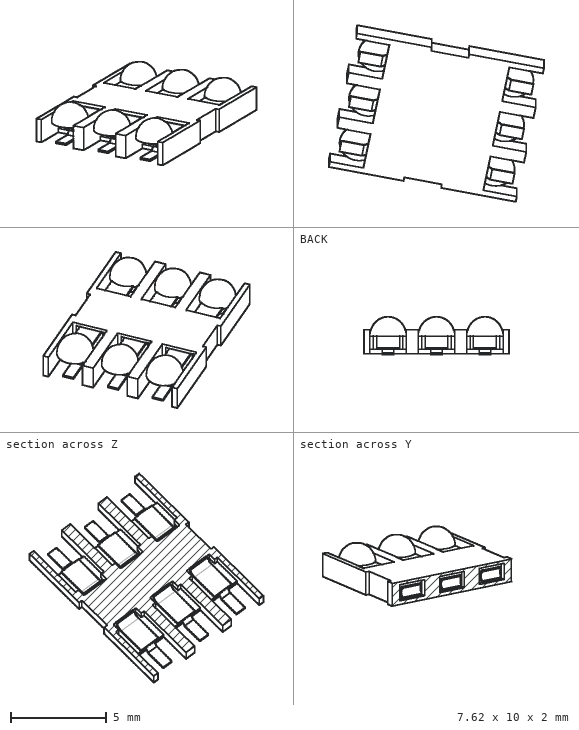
import cadquery as cq

HOUSING_LENGTH = 10.0
HOUSING_WIDTH = 7.62
HOUSING_HEIGHT = 1.27
NOTCH_LENGTH = 2.0
NOTCH_DEPTH = 0.2

POSITIONS_PER_ROW = 3
PITCH = HOUSING_WIDTH / POSITIONS_PER_ROW
ROW_X = [(i - (POSITIONS_PER_ROW - 1) / 2) * PITCH for i in range(POSITIONS_PER_ROW)]

SLOT_WIDTH = 1.93
SLOT_BACK_Y = 1.63
FLOOR_EDGE_Y = 3.21
FLOOR_TOP_Z = 0.23

CAVITY_WIDTH = 1.55
CAVITY_BACK_Y = 1.2
CAVITY_TOP_Z = 1.09

STRIP_THICKNESS = 0.1
STRIP_WIDTH = 1.2
BEND_INNER_RADIUS = 0.3
BEND_OUTER_RADIUS = BEND_INNER_RADIUS + STRIP_THICKNESS
BEND_Z = FLOOR_TOP_Z + BEND_OUTER_RADIUS
LEAF_BOTTOM_Z = BEND_Z + BEND_INNER_RADIUS

DOME_WIDTH = 1.92
DOME_HEIGHT = 1.02
DOME_Y = 3.65

TAB_WIDTH = 0.6
TAB_FLAT_START_Y = 3.43
TAB_END_Y = 4.63
TAB_BOTTOM_Z = -0.05


def box_between(width, y_start, y_end, z_start, z_end):
    """Box centred on X = 0 that spans the given Y and Z ranges."""
    return (
        cq.Workplane("XY")
        .box(width, y_end - y_start, z_end - z_start, centered=(True, False, False))
        .translate((0, y_start, z_start))
    )


def at_each_position(shape):
    """Copies of a +Y shape at every contact position of both rows."""
    copies = []
    for row_angle in (0, 180):
        for x in ROW_X:
            copies.append(shape.translate((x, 0, 0)).rotate((0, 0, 0), (0, 0, 1), row_angle))
    return copies


def make_position_cut():
    """Everything removed from the housing for one contact."""
    half_length = HOUSING_LENGTH / 2
    slot = box_between(SLOT_WIDTH, SLOT_BACK_Y, half_length, FLOOR_TOP_Z, HOUSING_HEIGHT)
    open_end = box_between(SLOT_WIDTH, FLOOR_EDGE_Y, half_length, 0, FLOOR_TOP_Z)
    cavity = box_between(CAVITY_WIDTH, CAVITY_BACK_Y, SLOT_BACK_Y, FLOOR_TOP_Z, CAVITY_TOP_Z)
    return slot.union(open_end).union(cavity)


def make_housing():
    """Block with a shallow notch in each long side and a slot for every contact."""
    body = cq.Workplane("XY").box(
        HOUSING_WIDTH, HOUSING_LENGTH, HOUSING_HEIGHT, centered=(True, True, False)
    )
    notches = (
        cq.Workplane("XY")
        .pushPoints([(-HOUSING_WIDTH / 2, 0), (HOUSING_WIDTH / 2, 0)])
        .rect(2 * NOTCH_DEPTH, NOTCH_LENGTH)
        .extrude(HOUSING_HEIGHT)
    )
    body = body.cut(notches)
    for position_cut in at_each_position(make_position_cut()):
        body = body.cut(position_cut)
    return body


def make_strip():
    """Strip bent into a C that opens outward, its lower leaf resting on the slot floor."""
    bend_y = CAVITY_BACK_Y + BEND_OUTER_RADIUS
    return (
        cq.Workplane("YZ")
        .moveTo(FLOOR_EDGE_Y, BEND_Z - BEND_OUTER_RADIUS)
        .lineTo(bend_y, BEND_Z - BEND_OUTER_RADIUS)
        .threePointArc((bend_y - BEND_OUTER_RADIUS, BEND_Z), (bend_y, BEND_Z + BEND_OUTER_RADIUS))
        .lineTo(DOME_Y, BEND_Z + BEND_OUTER_RADIUS)
        .lineTo(DOME_Y, LEAF_BOTTOM_Z)
        .lineTo(bend_y, LEAF_BOTTOM_Z)
        .threePointArc((bend_y - BEND_INNER_RADIUS, BEND_Z), (bend_y, BEND_Z - BEND_INNER_RADIUS))
        .lineTo(FLOOR_EDGE_Y, BEND_Z - BEND_INNER_RADIUS)
        .close()
        .extrude(STRIP_WIDTH / 2, both=True)
    )


def make_dome():
    """Flat-bottomed half of an ellipse turned about its X axis."""
    return (
        cq.Workplane("XY")
        .ellipseArc(DOME_WIDTH / 2, DOME_HEIGHT, 0, 180, startAtCurrent=False)
        .close()
        .revolve(180, (0, 0, 0), (1, 0, 0))
        .translate((0, DOME_Y, LEAF_BOTTOM_Z))
    )


def make_tab():
    """Narrow tail that slopes off the lower leaf and runs out flat below the housing."""
    leaf_top_z = FLOOR_TOP_Z + STRIP_THICKNESS
    tab_top_z = TAB_BOTTOM_Z + STRIP_THICKNESS
    return (
        cq.Workplane("YZ")
        .moveTo(FLOOR_EDGE_Y, FLOOR_TOP_Z)
        .lineTo(TAB_FLAT_START_Y, TAB_BOTTOM_Z)
        .lineTo(TAB_END_Y, TAB_BOTTOM_Z)
        .lineTo(TAB_END_Y, tab_top_z)
        .lineTo(TAB_FLAT_START_Y, tab_top_z)
        .lineTo(FLOOR_EDGE_Y, leaf_top_z)
        .close()
        .extrude(TAB_WIDTH / 2, both=True)
    )


def make_contact():
    """One spring contact in the middle position of the +Y row."""
    return make_strip().union(make_dome()).union(make_tab())


housing = make_housing()
contacts = at_each_position(make_contact())

result = cq.Compound.makeCompound([housing.val(), *[contact.val() for contact in contacts]])